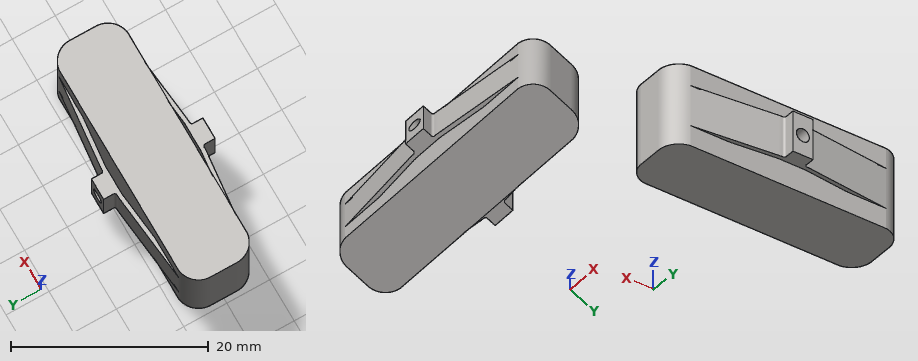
import cadquery as cq
import math

body_length = 28.79
body_width = 8.0
body_height = 10.0
corner_radius = 2.5
side_flat_length = 24.4

overall_width = 13.0
arm_height = 5.0
arm_thickness = 0.5
arm_rise = 1.1
bend_radius = 4.0

block_length = 2.5
block_fillet = 0.25
hole_diameter = 1.6

half_length = body_length / 2
half_width = body_width / 2
half_flat = side_flat_length / 2
half_block = block_length / 2
fillet_foot = half_block + block_fillet
block_tip = overall_width / 2
crest_outer = half_width + arm_rise
crest_inner = crest_outer - arm_thickness


def make_body():
    """Block whose corner arcs are tangent to the end faces and stop at the long sides."""
    arc_centre_x = half_length - corner_radius
    end_angle = math.acos((half_flat - arc_centre_x) / corner_radius)
    arc_centre_y = half_width - corner_radius * math.sin(end_angle)
    mid_x = arc_centre_x + corner_radius * math.cos(end_angle / 2)
    mid_y = arc_centre_y + corner_radius * math.sin(end_angle / 2)
    return (
        cq.Workplane("XY")
        .moveTo(-half_flat, half_width)
        .lineTo(half_flat, half_width)
        .threePointArc((mid_x, mid_y), (half_length, arc_centre_y))
        .lineTo(half_length, -arc_centre_y)
        .threePointArc((mid_x, -mid_y), (half_flat, -half_width))
        .lineTo(-half_flat, -half_width)
        .threePointArc((-mid_x, -mid_y), (-half_length, -arc_centre_y))
        .lineTo(-half_length, arc_centre_y)
        .threePointArc((-mid_x, mid_y), (-half_flat, half_width))
        .close()
        .extrude(body_height / 2, both=True)
    )


def find_slope_angle():
    """Angle of the line from the arm's outer root that is tangent to the outer bend arc."""
    run = half_flat - fillet_foot
    drop = bend_radius - arm_rise
    root_distance = math.hypot(run, drop)
    return math.atan2(run, drop) - math.acos(bend_radius / root_distance)


def make_strip():
    """Bowed strip of constant thickness that runs into the body at both ends."""
    slope_angle = find_slope_angle()
    root_length = arm_thickness / math.sin(slope_angle)
    inner_root = half_flat - root_length
    bend_centre_y = crest_outer - bend_radius

    def bend_point(radius, angle):
        return (fillet_foot + radius * math.sin(angle), bend_centre_y + radius * math.cos(angle))

    def mirrored(point):
        return (-point[0], point[1])

    inner_bend_radius = bend_radius - arm_thickness
    outer_mid = bend_point(bend_radius, slope_angle / 2)
    outer_end = bend_point(bend_radius, slope_angle)
    inner_mid = bend_point(inner_bend_radius, slope_angle / 2)
    inner_end = bend_point(inner_bend_radius, slope_angle)
    return (
        cq.Workplane("XY")
        .moveTo(-half_flat, half_width)
        .lineTo(*mirrored(outer_end))
        .threePointArc(mirrored(outer_mid), (-fillet_foot, crest_outer))
        .lineTo(fillet_foot, crest_outer)
        .threePointArc(outer_mid, outer_end)
        .lineTo(half_flat, half_width)
        .lineTo(inner_root, half_width)
        .lineTo(*inner_end)
        .threePointArc(inner_mid, (fillet_foot, crest_inner))
        .lineTo(-fillet_foot, crest_inner)
        .threePointArc(mirrored(inner_mid), mirrored(inner_end))
        .lineTo(-inner_root, half_width)
        .close()
        .extrude(arm_height / 2, both=True)
    )


def make_block():
    """Block on the crest, with concave fillets where it meets the strip."""
    fillet_top = crest_outer + block_fillet
    return (
        cq.Workplane("XY")
        .moveTo(-fillet_foot, crest_inner)
        .lineTo(-fillet_foot, crest_outer)
        .radiusArc((-half_block, fillet_top), -block_fillet)
        .lineTo(-half_block, block_tip)
        .lineTo(half_block, block_tip)
        .lineTo(half_block, fillet_top)
        .radiusArc((fillet_foot, crest_outer), -block_fillet)
        .lineTo(fillet_foot, crest_inner)
        .close()
        .extrude(arm_height / 2, both=True)
    )


def make_hole():
    """Hole through the block and the strip, stopping at the side of the body."""
    return (
        cq.Workplane("XZ", origin=(0, block_tip, 0))
        .circle(hole_diameter / 2)
        .extrude(block_tip - half_width)
    )


def make_arm():
    """Complete arm for the +Y side."""
    return make_strip().union(make_block()).cut(make_hole())


arm = make_arm()
result = make_body().union(arm).union(arm.mirror("XZ"))